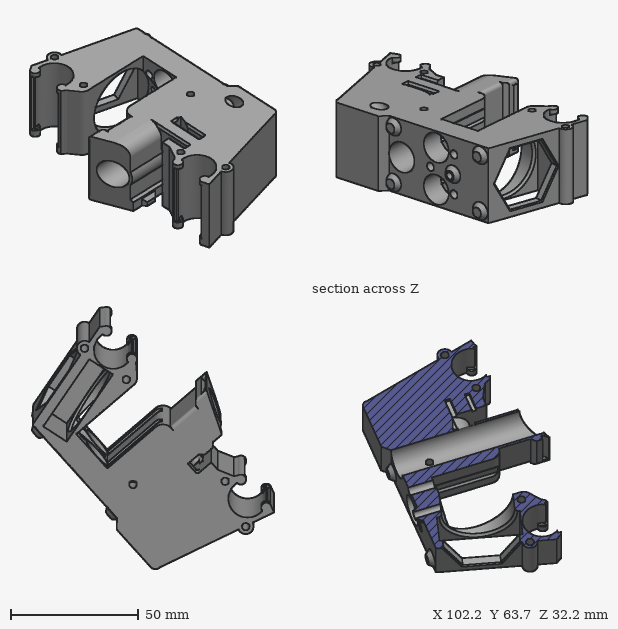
import cadquery as cq
import math

height = 32.2
mid_z = height / 2
side_tilt = math.tan(math.radians(15))

rod_x = 40.0
rod_radius = 7.6
hook_drop = 3.2
hook_radius = 2.0
hook_end = hook_drop + hook_radius
hook_in = rod_x - rod_radius
hook_out = rod_x + rod_radius
relief_radius = 7.7
relief_hook_drop = 4.0
relief_bottom = 3.1
relief_top = 30.1
relief_chamfer = 0.6
ear_x = 48.0
ear_y = 8.0
ear_radius = 3.1
screw_diameter = 3.0
screw_radius = screw_diameter / 2
inner_screws = [(-27.7, 4.0), (5.9, 30.0), (28.9, 1.9)]

back_y = 43.8
block_back_y = 46.9
flank_corner = (-38.5, 43.0)
flank_foot_y = -2.2
tail_corner = (51.0, -4.2)
back_left = -38.0
block_left = 15.3
block_ramp_left = 12.2
block_right = 35.9
block_corner = (38.1, 44.2)
slot_left = -24.1
slot_right = -5.6
slot_end_y = 33.3
slot_corner_radius = 4.3
slot_corner_y = 8.0
front_wall_y = 7.1
clip_block_x = 19.5

arm_left = -1.7
arm_right = 12.8
arm_foot_right = 13.9
arm_round_radius = 5.1
arm_round_end = (8.4, 31.8)
arm_foot_top = 5.5
arm_edge_radius = 1.6
lip_left = -3.6
lip_edge_radius = 1.2
lip_start_y = -9.5
tip_y = -16.8
front_slope = (lip_start_y - tip_y) / (arm_foot_right - lip_left)
main_bore_x = 5.9
main_bore_radius = 6.4
main_boss_radius = 7.6

large_hole_x = -11.6
large_hole_radius = 6.3
large_hole_offset = 9.0
small_hole_diameter = 3.6
small_hole_radius = small_hole_diameter / 2
small_hole_x = -20.6
small_hole_offset = 8.6
lone_hole_x = -8.7
pin_hole_x = -20.1

cone_base_radius = 3.8
cone_top_radius = 2.1
cone_height = 2.1
cone_x_pair = (-34.0, 10.0)
cone_z_offset = 11.9

hex_centre_y = 26.2
hex_mouth_flats = 27.2
hex_flats = 26.1
hex_lead = 0.5
bay_front = 3.9
bay_depth = 11.1
bay_half_width = 16.3
bay_top = 30.6
duct_radius = 14.4
duct_chamfer = 1.0
duct_reach = 28.6

mouth_depth = 1.1
mouth_flare = 0.7
slots_right = 28.2
rear_slot_left = 12.5
rear_slot_front = 12.8
rear_slot_back = 16.2
rear_slant_right = 18.9
rear_slant_back = 17.5
front_slot_left = 6.3
front_slot_front = 4.7
front_slot_back = front_wall_y + mouth_flare
passage_floor = 15.0
passage_roof = 19.4
roof_lip_radius = 2.2
floor_lip_radius = 9.5
floor_recess = 1.1

slant_hole_centre = (21.2, 39.0)
slant_hole_diameter = 6.0
slant_hole_radius = slant_hole_diameter / 2
slant_hole_depth = 6.2
slant_hole_angle = 49


def flank_x(y):
    """X of the left flank at a given Y."""
    return flank_corner[0] - (flank_corner[1] - y) * side_tilt


def box(x0, x1, y0, y1, z0, z1):
    return cq.Workplane("XY").box(x1 - x0, y1 - y0, z1 - z0, centered=False).translate((x0, y0, z0))


def post(x, y, radius):
    """Full-height upright cylinder."""
    return cq.Workplane("XY").center(x, y).circle(radius).extrude(height)


def bore_y(x, z, radius, y0, y1):
    """Cylinder along Y from y0 to y1."""
    return cq.Workplane("XZ", origin=(x, y0, z)).circle(radius).extrude(y0 - y1)


def make_plate():
    corner_45 = slot_corner_radius * math.sqrt(0.5)
    corner_x = slot_right + slot_corner_radius
    outline = (
        cq.Workplane("XY")
        .moveTo(flank_x(flank_foot_y), flank_foot_y)
        .lineTo(*flank_corner)
        .lineTo(back_left, back_y)
        .lineTo(block_ramp_left, back_y)
        .lineTo(block_left, block_back_y)
        .lineTo(block_right, block_back_y)
        .threePointArc((37.4, 46.1), block_corner)
        .lineTo(*tail_corner)
        .lineTo(hook_out, -hook_end)
        .lineTo(hook_out, -hook_drop)
        .lineTo(hook_in, -hook_drop)
        .lineTo(31.1, -4.7)
        .lineTo(29.6, -2.0)
        .lineTo(23.5, 1.0)
        .lineTo(clip_block_x, 1.0)
        .lineTo(clip_block_x, front_wall_y)
        .lineTo(0, front_wall_y)
        .lineTo(0, slot_corner_y - slot_corner_radius)
        .lineTo(corner_x, slot_corner_y - slot_corner_radius)
        .threePointArc((corner_x - corner_45, slot_corner_y - corner_45), (slot_right, slot_corner_y))
        .lineTo(slot_right, slot_end_y)
        .lineTo(slot_left, slot_end_y)
        .lineTo(slot_left, 3.1)
        .threePointArc((-24.5, 1.4), (-25.5, 0.2))
        .lineTo(-29.8, -3.0)
        .lineTo(-31.3, -4.9)
        .lineTo(-hook_in, -hook_drop)
        .lineTo(-hook_out, -hook_drop)
        .lineTo(-49.0, -4.6)
        .close()
    )
    return outline.extrude(height)


def add_clips(body):
    """Open rod seats with rounded hooks; between their ends the hooks are cut thinner."""
    for side in (-1, 1):
        seat_x = side * rod_x
        body = body.union(post(side * ear_x, ear_y, ear_radius))
        body = body.cut(post(seat_x, 0, rod_radius))
        body = body.cut(box(seat_x - rod_radius, seat_x + rod_radius, -2 * hook_end, 0, 0, height))
        relief = (
            cq.Workplane("XY", origin=(seat_x, 0, relief_bottom))
            .circle(relief_radius)
            .extrude(relief_top - relief_bottom)
            .faces("|Z")
            .chamfer(relief_chamfer)
        )
        relief = relief.union(
            box(
                seat_x - rod_radius,
                seat_x + rod_radius,
                -2 * hook_end,
                -relief_hook_drop,
                relief_bottom,
                relief_top,
            )
        )
        for hook_x in (hook_in, hook_out):
            body = body.union(post(side * hook_x, -hook_drop, hook_radius).cut(relief))
    return body


def make_arm():
    arm_length = front_wall_y + floor_recess - tip_y
    section = (
        cq.Workplane("XZ", origin=(0, tip_y, 0))
        .moveTo(arm_left, 0)
        .lineTo(arm_foot_right, 0)
        .lineTo(arm_foot_right, arm_foot_top - (arm_foot_right - arm_right))
        .lineTo(arm_right, arm_foot_top)
        .lineTo(arm_right, height - arm_round_radius)
        .radiusArc(arm_round_end, -arm_round_radius)
        .lineTo(front_slot_left, height)
        .lineTo(arm_left, height)
        .close()
        .extrude(-arm_length)
        .edges("|Y and <X")
        .fillet(arm_edge_radius)
    )
    boss = bore_y(main_bore_x, mid_z, main_boss_radius, tip_y, front_wall_y + floor_recess)
    lip_flare = arm_left - lip_left
    lip = (
        cq.Workplane("XY")
        .moveTo(lip_left, tip_y)
        .lineTo(lip_left, lip_start_y - lip_flare)
        .lineTo(arm_left, lip_start_y)
        .lineTo(main_bore_x, lip_start_y)
        .lineTo(main_bore_x, tip_y)
        .close()
        .extrude(height)
        .edges("|Y and <X")
        .fillet(lip_edge_radius)
    )
    arm = section.union(boss).union(lip)

    overshoot = 5.1
    front_cut = (
        cq.Workplane("XY")
        .moveTo(lip_left - overshoot, tip_y - overshoot * front_slope)
        .lineTo(arm_foot_right + overshoot, lip_start_y + overshoot * front_slope)
        .lineTo(arm_foot_right + overshoot, tip_y - overshoot)
        .lineTo(lip_left - overshoot, tip_y - overshoot)
        .close()
        .extrude(height)
    )
    return arm.cut(front_cut).cut(make_lip_pocket().cut(boss)).union(make_tab())


def make_lip_pocket():
    """Wedge-shaped recess in the lip with a front wall at 45 degrees."""
    pocket_back_y = -14.0
    lip_wall = 0.4
    pocket_front_y = tip_y + lip_wall
    reach = pocket_back_y - pocket_front_y
    edge_margin = 2.1
    return (
        cq.Workplane("XY", origin=(0, 0, edge_margin))
        .moveTo(lip_left, pocket_front_y)
        .lineTo(lip_left + reach, pocket_back_y)
        .lineTo(lip_left, pocket_back_y)
        .close()
        .extrude(height - 2 * edge_margin)
    )


def make_tab():
    """Small tab beside the foot of the arm, tapered at 45 degrees."""
    tab_right = 15.5
    tab_back_y = 0.9
    tab_front_y = -3.3
    tab_edge_height = 1.9
    reach = tab_right - arm_right
    plan = (
        cq.Workplane("XY")
        .polyline(
            [
                (arm_right, tab_back_y + reach),
                (tab_right, tab_back_y),
                (tab_right, tab_front_y),
                (arm_right, tab_front_y - reach),
            ]
        )
        .close()
        .extrude(height)
    )
    side = (
        cq.Workplane("XZ", origin=(0, front_wall_y, 0))
        .moveTo(arm_right, 0)
        .lineTo(tab_right, 0)
        .lineTo(tab_right, tab_edge_height)
        .lineTo(arm_right, tab_edge_height + reach)
        .close()
        .extrude(front_wall_y - tip_y)
    )
    return plan.intersect(side)


def add_cones(body):
    spots = [(x, mid_z + side * cone_z_offset) for x in cone_x_pair for side in (-1, 1)]
    spots.append((pin_hole_x, mid_z))
    for x, z in spots:
        cone = cq.Solid.makeCone(
            cone_base_radius,
            cone_top_radius,
            cone_height,
            pnt=cq.Vector(x, back_y, z),
            dir=cq.Vector(0, 1, 0),
        )
        body = body.union(cq.Workplane(cone))
    return body


def cut_wall_holes(body):
    start = (slot_end_y + front_wall_y) / 2
    end = block_back_y
    for side in (-1, 1):
        large_z = mid_z + side * large_hole_offset
        small_z = mid_z + side * small_hole_offset
        body = body.cut(bore_y(large_hole_x, large_z, large_hole_radius, start, end))
        body = body.cut(bore_y(small_hole_x, small_z, small_hole_radius, start, end))
    body = body.cut(bore_y(lone_hole_x, mid_z, small_hole_radius, start, end))
    body = body.cut(bore_y(pin_hole_x, mid_z, screw_radius, start, end))
    return body.cut(bore_y(main_bore_x, mid_z, main_bore_radius, tip_y, end))


def cut_slot_grooves(body):
    """Two flared grooves along the right wall of the slot, level with the large holes."""
    mouth_half = 2.8
    depth = 0.9
    open_x = slot_right - depth
    for side in (-1, 1):
        z = mid_z + side * large_hole_offset
        groove = (
            cq.Workplane("XZ", origin=(0, slot_end_y, 0))
            .polyline(
                [
                    (open_x, z - mouth_half),
                    (slot_right, z - mouth_half),
                    (slot_right + depth, z - mouth_half + depth),
                    (slot_right + depth, z + mouth_half - depth),
                    (slot_right, z + mouth_half),
                    (open_x, z + mouth_half),
                ]
            )
            .close()
            .extrude(slot_end_y - slot_corner_radius)
        )
        body = body.cut(groove)
    return body


def cut_fan_duct(body):
    flank = cq.Workplane(
        cq.Plane(
            origin=(flank_x(hex_centre_y), hex_centre_y, mid_z),
            xDir=(side_tilt, 1, 0),
            normal=(1, -side_tilt, 0),
        )
    )
    across_corners = 2 / math.sqrt(3)
    bay_back = bay_front + bay_depth

    window = flank.polygon(6, hex_flats * across_corners).extrude(bay_front)
    lead = (
        flank.polygon(6, hex_mouth_flats * across_corners)
        .workplane(offset=hex_lead)
        .polygon(6, hex_flats * across_corners)
        .loft(ruled=True)
    )
    bay = (
        flank.workplane(offset=bay_front)
        .center(0, bay_top / 2 - mid_z)
        .rect(2 * bay_half_width, bay_top)
        .extrude(bay_depth)
    )
    duct_mouth = (
        flank.workplane(offset=bay_back)
        .circle(duct_radius + duct_chamfer)
        .workplane(offset=duct_chamfer)
        .circle(duct_radius)
        .loft(ruled=True)
    )
    duct = flank.workplane(offset=bay_back).circle(duct_radius).extrude(duct_reach - bay_back)
    return body.cut(window).cut(lead).cut(bay).cut(duct_mouth).cut(duct)


def slot_mouth(x0, x1, y0, y1):
    """Pyramid-sided mouth that narrows downward from the top face."""
    return (
        cq.Workplane("XY", origin=((x0 + x1) / 2, (y0 + y1) / 2, height))
        .rect(x1 - x0, y1 - y0)
        .workplane(offset=-mouth_depth)
        .rect(x1 - x0 - 2 * mouth_flare, y1 - y0 - 2 * mouth_flare)
        .loft(ruled=True)
    )


def cut_top_slots(body):
    rear_left = rear_slot_left + mouth_flare
    body = body.cut(slot_mouth(rear_slot_left, slots_right, rear_slot_front, rear_slot_back))
    rear_well = (
        cq.Workplane("XY", origin=(0, 0, passage_floor))
        .polyline(
            [
                (rear_left, rear_slot_front + mouth_flare),
                (slots_right - mouth_flare, rear_slot_front + mouth_flare),
                (slots_right - mouth_flare, rear_slot_back - mouth_flare),
                (rear_slant_right, rear_slot_back - mouth_flare),
                (rear_left, rear_slant_back),
            ]
        )
        .close()
        .extrude(height - passage_floor)
    )
    body = body.cut(rear_well)
    body = body.cut(slot_mouth(front_slot_left, slots_right, front_slot_front, front_slot_back))
    throat = box(
        clip_block_x,
        slots_right - mouth_flare,
        front_slot_front + mouth_flare,
        front_wall_y,
        passage_floor,
        height,
    )
    return body.cut(throat)


def cut_passage(body):
    """Horizontal opening in the front wall with rounded upper and lower lips."""
    roof_45 = roof_lip_radius * (1 - math.sqrt(0.5))
    floor_45 = floor_lip_radius * (1 - math.sqrt(0.5))
    floor_face_y = front_wall_y + floor_recess
    floor_edge_z = passage_floor - floor_lip_radius
    inner_y = floor_face_y + floor_lip_radius
    profile = (
        cq.Workplane("YZ", origin=(arm_right, 0, 0))
        .moveTo(front_wall_y, floor_edge_z)
        .lineTo(floor_face_y, floor_edge_z)
        .threePointArc((floor_face_y + floor_45, passage_floor - floor_45), (inner_y, passage_floor))
        .lineTo(inner_y, passage_roof)
        .lineTo(front_wall_y + roof_lip_radius, passage_roof)
        .threePointArc(
            (front_wall_y + roof_45, passage_roof + roof_45),
            (front_wall_y, passage_roof + roof_lip_radius),
        )
        .close()
        .extrude(clip_block_x - arm_right)
    )
    opening = box(arm_right, clip_block_x, front_wall_y, rear_slot_back - mouth_flare, 0, height)
    body = body.cut(profile.intersect(opening))

    recess = (
        cq.Workplane("XY")
        .moveTo(arm_right, front_wall_y)
        .lineTo(clip_block_x, front_wall_y)
        .radiusArc((clip_block_x - floor_recess, floor_face_y), -floor_recess)
        .lineTo(arm_right, floor_face_y)
        .close()
        .extrude(floor_edge_z)
    )
    return body.cut(recess)


def cut_screws_and_slant_hole(body):
    for x, y in inner_screws + [(-ear_x, ear_y), (ear_x, ear_y)]:
        body = body.cut(post(x, y, screw_radius))
    angle = math.radians(slant_hole_angle)
    x, y = slant_hole_centre
    lead_in = slant_hole_diameter
    start = cq.Vector(x + lead_in * math.cos(angle), y, height + lead_in * math.sin(angle))
    down = cq.Vector(-math.cos(angle), 0, -math.sin(angle))
    hole = cq.Solid.makeCylinder(slant_hole_radius, lead_in + slant_hole_depth, start, down)
    return body.cut(cq.Workplane(hole))


body = add_clips(make_plate())
body = cut_fan_duct(body)
body = cut_slot_grooves(body)
body = cut_top_slots(body)
body = cut_passage(body)
body = body.union(make_arm())
body = add_cones(body)
body = cut_wall_holes(body)
result = cut_screws_and_slant_hole(body)